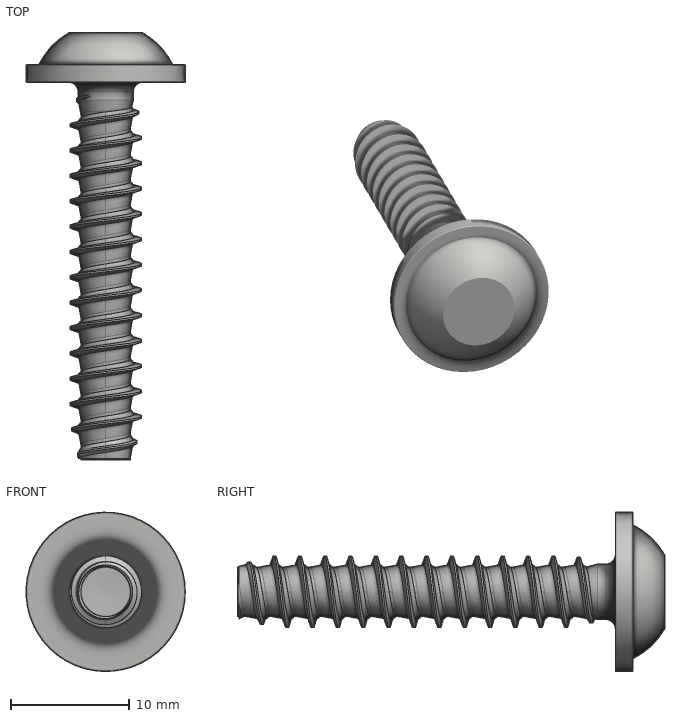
import cadquery as cq
import math

total_length = 36.2
shank_length = 32.0
head_height = total_length - shank_length

flange_radius = 6.75
flange_thickness = 1.5
flange_edge_round = 0.07
dome_foot_radius = 5.7
dome_top_radius = 3.1

neck_radius = 2.35
neck_length = 1.52
neck_fillet = 0.8
core_radius = 2.1
core_start = 2.55
tip_dish_radius = 2.05
tip_dish_depth = 0.1

first_crest = 1.5
last_crest = 31.55
counted_turns = 14
pitch = (last_crest - first_crest) / counted_turns
start_turn = -0.25
end_turn = 14.75
fade_in_turns = 1.5
fade_out_start = 12.75
fade_out_turns = 1.5
piece_turns = 0.5
points_per_piece = 9
crest_radius = 3.05
foot_radius = 2.28
buried_radius = 2.05

thread_section = [
    (buried_radius, -0.635),
    (2.43, -0.2),
    (crest_radius, -0.07),
    (crest_radius, 0.07),
    (foot_radius, 0.33),
    (buried_radius, 1.5),
]


def make_body():
    """Head, neck and core as one revolved solid."""
    dome_drop = head_height - flange_thickness
    centre_below_foot = (dome_foot_radius**2 - dome_top_radius**2 - dome_drop**2) / (2 * dome_drop)
    sphere_radius = math.hypot(dome_foot_radius, centre_below_foot)
    mid_radius = (dome_foot_radius + dome_top_radius) / 2
    mid_height = flange_thickness - centre_below_foot + math.sqrt(sphere_radius**2 - mid_radius**2)

    fillet_mid = neck_fillet * (1 - math.sqrt(0.5))
    outline = (
        cq.Workplane("XZ")
        .moveTo(0, -head_height)
        .lineTo(dome_top_radius, -head_height)
        .threePointArc((mid_radius, -mid_height), (dome_foot_radius, -flange_thickness))
        .lineTo(flange_radius - flange_edge_round, -flange_thickness)
        .radiusArc((flange_radius, -flange_thickness + flange_edge_round), -flange_edge_round)
        .lineTo(flange_radius, -flange_edge_round)
        .radiusArc((flange_radius - flange_edge_round, 0), -flange_edge_round)
        .lineTo(neck_radius + neck_fillet, 0)
        .threePointArc((neck_radius + fillet_mid, fillet_mid), (neck_radius, neck_fillet))
        .lineTo(neck_radius, neck_length)
        .lineTo(core_radius, core_start)
        .lineTo(core_radius, shank_length)
        .lineTo(tip_dish_radius, shank_length)
        .lineTo(0, shank_length - tip_dish_depth)
        .close()
    )
    return outline.revolve(360, (0, 0, 0), (0, 1, 0))


def crest_share(turn):
    """Share of the crest height above the foot: it rises over the first turn and falls over the last."""
    rise = min((turn - start_turn) / fade_in_turns, 1)
    fall = min(1 - (turn - fade_out_start) / fade_out_turns, 1)
    return max(min(math.sin(rise * math.pi / 2), fall), 0.02)


def thread_point(section_point, turn):
    """Place of a section corner after a number of turns."""
    radius, offset = section_point
    if radius > foot_radius:
        radius = foot_radius + (radius - foot_radius) * crest_share(turn)
    angle = math.pi + 2 * math.pi * turn
    height = first_crest + pitch * turn + offset
    return cq.Vector(radius * math.cos(angle), radius * math.sin(angle), height)


def corner_curve(corner, first_turn):
    """Curve that a section corner traces over one piece of the thread."""
    steps = points_per_piece - 1
    turns = [first_turn + piece_turns * step / steps for step in range(points_per_piece)]
    return cq.Edge.makeSpline([thread_point(corner, turn) for turn in turns])


def end_face(turn):
    corners = [thread_point(corner, turn) for corner in thread_section]
    return cq.Face.makeFromWires(cq.Wire.makePolygon(corners, close=True))


def make_thread():
    """Right-hand thread, closed by ruled faces between the curves of neighbouring section corners."""
    faces = [end_face(start_turn), end_face(end_turn)]
    for piece in range(round((end_turn - start_turn) / piece_turns)):
        curves = [corner_curve(corner, start_turn + piece * piece_turns) for corner in thread_section]
        next_curves = curves[1:] + curves[:1]
        faces += [cq.Face.makeRuledSurface(curve, after) for curve, after in zip(curves, next_curves)]
    return cq.Solid.makeSolid(cq.Shell.makeShell(faces))


shank_envelope = cq.Workplane("XY").circle(flange_radius).extrude(shank_length - tip_dish_depth)
thread = shank_envelope.intersect(cq.Workplane(make_thread()))

result = make_body().union(thread).rotate((0, 0, 0), (1, 0, 0), 90)